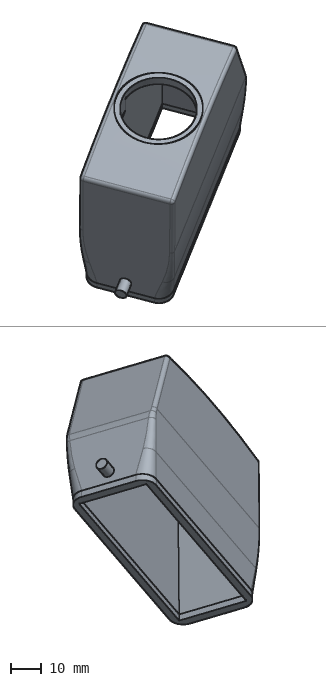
import cadquery as cq
import math


peg_span = 89.0
hood_width = 32.5
rim_length = 79.0
crown_height = 58.5

seal_height = 2.5
rim_width = 29.7
rim_corner_radius = 5.0

tilt_top = 12.2
curve_top = 28.9

end_draft = 0.9
shoulder_height = 26.0
slope_angle = 19.6
shoulder_radius = 9.35
roof_radius = 275.9
entry_y = -4.9

edge_radius = 1.3
tilt_top_radius = 3.1

cavity_width = 24.6
end_wall = 3.1
roof_thickness = 3.8

entry_radius = 12.55
entry_depth = 9.8
spotface_radius = 14.5
spotface_height = 58.0

peg_diameter = 4.0
peg_height = 6.9

clearance_height = 71.2
margin = 0.1
meeting_steps = 20

half_rim = rim_length / 2
half_width = hood_width / 2
draft_slope = math.tan(math.radians(end_draft))
slope_run = math.tan(math.radians(slope_angle))
roof_centre_z = crown_height - roof_radius


def end_wall_y(z):
    """Distance of an end wall from the XZ plane at height z."""
    return half_rim - draft_slope * (z - seal_height)


def roof_arc_z(y, radius):
    """Height at y of a roof arch of the given radius."""
    return roof_centre_z + math.sqrt(radius**2 - (y - entry_y) ** 2)


def cross_prism():
    """Outline across the hood (XZ), run along Y."""
    tilt_x = half_width - (half_width - rim_width / 2) * (curve_top - tilt_top) / (
        curve_top + tilt_top - 2 * seal_height
    )
    right_half = (
        cq.Workplane("XZ", origin=(0, rim_length, 0))
        .moveTo(0, seal_height)
        .lineTo(rim_width / 2, seal_height)
        .lineTo(tilt_x, tilt_top)
        .tangentArcPoint((half_width, curve_top), relative=False)
        .lineTo(half_width, clearance_height)
        .lineTo(0, clearance_height)
        .close()
        .extrude(2 * rim_length)
    )
    return right_half.union(right_half.mirror("YZ")).clean()


def slope_roof_point(slope_y, slope_z, radius):
    """Point where the slope that starts at (slope_y, slope_z) meets a roof arch."""
    z = crown_height
    for _ in range(meeting_steps):
        y = slope_y - slope_run * (z - slope_z)
        z = roof_arc_z(y, radius)
    return y, z


def length_outline(inset, floor_z, radius):
    """Face along the hood (YZ) with end walls moved in by inset, under a roof arch."""
    front_y = -end_wall_y(crown_height) + inset
    shoulder_y = end_wall_y(shoulder_height) - inset
    slope_top = slope_roof_point(shoulder_y, shoulder_height, radius)
    return (
        cq.Workplane("YZ", origin=(-hood_width, 0, 0))
        .moveTo(-end_wall_y(floor_z) + inset, floor_z)
        .lineTo(end_wall_y(floor_z) - inset, floor_z)
        .lineTo(shoulder_y, shoulder_height)
        .lineTo(*slope_top)
        .threePointArc((entry_y, roof_centre_z + radius), (front_y, roof_arc_z(front_y, radius)))
        .close()
    )


def corner_radius(z):
    """Radius of the upright corners: large at the rim, small above the curved part."""
    if z >= curve_top:
        return edge_radius
    if z >= tilt_top:
        share = (curve_top - z) / (curve_top - tilt_top)
        return edge_radius + share * (tilt_top_radius - edge_radius)
    share = (tilt_top - z) / (tilt_top - seal_height)
    return tilt_top_radius + share * (rim_corner_radius - tilt_top_radius)


def round_edges(shell):
    """Round the upright corners with the radius of corner_radius(), and the roof edges evenly."""
    maker = cq.occ_impl.shapes.BRepFilletAPI_MakeFillet(shell.val().wrapped)
    tilt_zone = cq.selectors.BoxSelector(
        (-hood_width, -rim_length, seal_height + margin),
        (hood_width, rim_length, tilt_top - margin),
    )
    uprights = shell.edges(tilt_zone).vals()
    for corner, lowest_edge in enumerate(uprights, 1):
        maker.Add(lowest_edge.wrapped)
        for part in range(1, maker.NbEdges(corner) + 1):
            for vertex in cq.Edge(maker.Edge(corner, part)).Vertices():
                maker.SetRadius(corner_radius(vertex.Z), corner, vertex.wrapped)
    for edge in shell.faces(">Z").edges().vals():
        maker.Add(edge_radius, edge.wrapped)
    return cq.Workplane(cq.Shape.cast(maker.Shape())).solids()


def make_cavity():
    """Inner space, open at the bottom, with plain side walls."""
    space = length_outline(end_wall, seal_height, roof_radius - roof_thickness)
    space = space.extrude(2 * hood_width)
    slab = cq.Workplane("XY").box(
        cavity_width, 2 * rim_length, clearance_height, centered=(True, True, False)
    )
    return space.intersect(slab)


def make_peg_bar():
    """Round bar over the full peg span, parted into two pegs by cutting the cavity."""
    return (
        cq.Workplane("XZ", origin=(0, peg_span / 2, peg_height))
        .circle(peg_diameter / 2)
        .extrude(peg_span)
    )


def make_entry():
    """Cable entry bore with its flat spotface."""
    bore = (
        cq.Workplane("XY", origin=(0, entry_y, spotface_height - entry_depth))
        .circle(entry_radius)
        .extrude(clearance_height)
    )
    spotface = (
        cq.Workplane("XY", origin=(0, entry_y, spotface_height))
        .circle(spotface_radius)
        .extrude(clearance_height)
    )
    return bore.union(spotface)


def make_hood():
    """Hood shell in one piece with its pegs."""
    lengthways = length_outline(0, seal_height, roof_radius).extrude(2 * hood_width)
    shoulder = cq.selectors.NearestToPointSelector((0, end_wall_y(shoulder_height), shoulder_height))
    lengthways = lengthways.edges(shoulder).fillet(shoulder_radius)
    shell = round_edges(cross_prism().intersect(lengthways))
    return shell.union(make_peg_bar()).cut(make_cavity()).cut(make_entry())


def make_seal():
    """Flat frame under the rim, open to the cavity."""
    outer = (
        cq.Workplane("XY")
        .rect(rim_width, rim_length)
        .extrude(seal_height)
        .edges("|Z")
        .fillet(rim_corner_radius)
    )
    opening = (
        cq.Workplane("XY")
        .rect(cavity_width, rim_length - 2 * end_wall)
        .extrude(seal_height)
    )
    return outer.cut(opening)


hood = make_hood().solids()
seal = make_seal().solids()
result = cq.Compound.makeCompound([hood.val(), seal.val()])